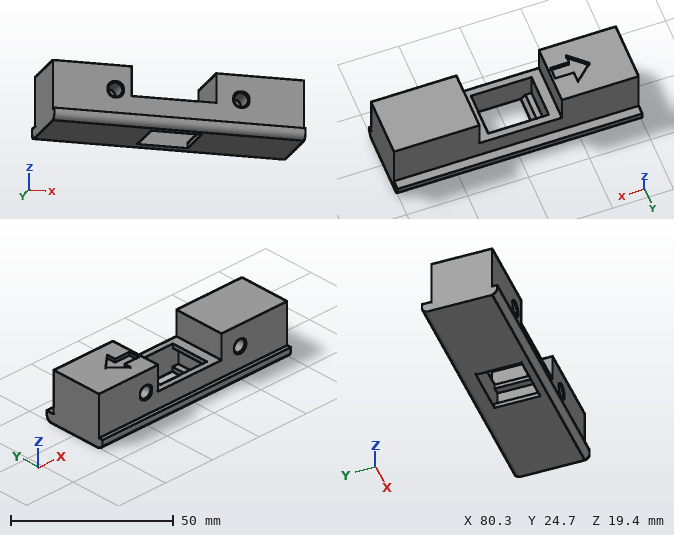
import cadquery as cq

length = 80.3
base_width = 24.7
base_height = 3.6
base_edge_radius = 2.2

total_height = 19.35
body_width = 20.0
body_front = 1.6
body_center = body_front + body_width / 2

notch_start = 25.2
notch_length = 27.1
notch_floor = 9.9

window_start = 28.6
window_end = 48.4
window_width = 15.0

recess_depth = 2.3
lip_thickness = 1.6
ledge_height = 1.7
ledge_overhang = 0.25

step_length = 2.0
ramp_size = 1.5

hole_spacing = 40.2
hole_height = 11.6
hole_diameter = 4.5
hole_mouth_diameter = 5.3
hole_depth = 8.0

arrow_tip = 12.4
arrow_head_end = 18.15
arrow_tail = 24.25
arrow_head_width = 10.45
arrow_shaft_width = 4.2
arrow_shaft_offset = -0.4
arrow_depth = 1.2


def block(x_start, x_end, y_center, width, z_start, z_end):
    """Box given by its X and Z limits, centered on y_center."""
    return (
        cq.Workplane("XY")
        .box(x_end - x_start, width, z_end - z_start, centered=(False, True, False))
        .translate((x_start, y_center, z_start))
    )


def make_body():
    base = block(0, length, base_width / 2, base_width, 0, base_height)
    base = base.edges("|X and <Z").fillet(base_edge_radius)
    upright = block(0, length, body_center, body_width, 0, total_height)
    notch = block(
        notch_start, notch_start + notch_length, body_center, body_width, notch_floor, total_height
    )
    return base.union(upright).cut(notch)


def make_window():
    """Window opening with its end recess, leaving the ledge and ramped step."""
    opening = block(window_start, window_end, body_center, window_width, 0, notch_floor)
    recess = block(
        window_end,
        window_end + recess_depth,
        body_center,
        window_width,
        ledge_height,
        notch_floor - lip_thickness,
    )
    ledge = block(
        window_end - ledge_overhang, window_end, body_center, window_width, 0, ledge_height
    )
    ramp_start = window_start + step_length
    step = (
        cq.Workplane("XZ", origin=(0, body_center, 0))
        .moveTo(window_start, 0)
        .lineTo(ramp_start + ramp_size, 0)
        .lineTo(ramp_start, ramp_size)
        .lineTo(window_start, ramp_size)
        .close()
        .extrude(window_width / 2, both=True)
    )
    return opening.union(recess).cut(ledge).cut(step)


def make_side_hole(x_center):
    """Blind hole with a 45 degree chamfered mouth."""
    radius = hole_diameter / 2
    mouth_radius = hole_mouth_diameter / 2
    chamfer = mouth_radius - radius
    return (
        cq.Workplane("XY")
        .lineTo(mouth_radius, 0)
        .lineTo(radius, chamfer)
        .lineTo(radius, hole_depth)
        .lineTo(0, hole_depth)
        .close()
        .revolve(360, (0, 0, 0), (0, 1, 0))
        .translate((x_center, body_front, hole_height))
    )


def make_arrow():
    half_head = arrow_head_width / 2
    half_shaft = arrow_shaft_width / 2
    outline = [
        (arrow_tip, 0),
        (arrow_head_end, half_head),
        (arrow_head_end, arrow_shaft_offset + half_shaft),
        (arrow_tail, arrow_shaft_offset + half_shaft),
        (arrow_tail, arrow_shaft_offset - half_shaft),
        (arrow_head_end, arrow_shaft_offset - half_shaft),
        (arrow_head_end, -half_head),
    ]
    return (
        cq.Workplane("XY", origin=(0, body_center, total_height))
        .polyline(outline)
        .close()
        .extrude(-arrow_depth)
    )


result = make_body().cut(make_window()).cut(make_arrow())
for side in (-1, 1):
    result = result.cut(make_side_hole(length / 2 + side * hole_spacing / 2))